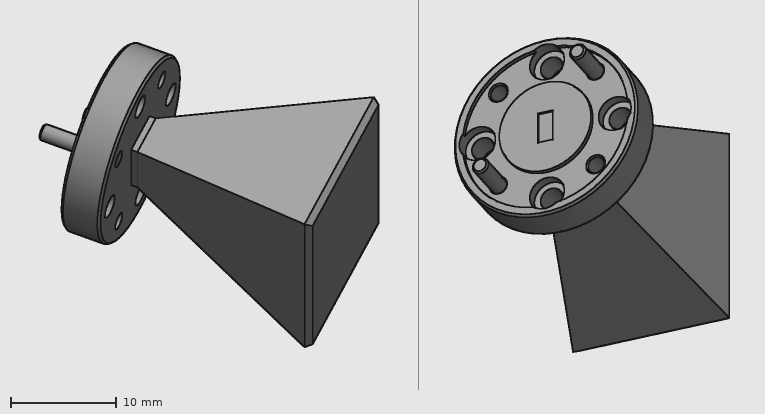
import cadquery as cq
import math

flange_diameter = 19.05
flange_front = 3.9
flange_back = 7.95
flange_chamfer_length = 0.25
flange_chamfer_depth = 0.2

recess_outer_radius = 8.6
boss_radius = 4.77
recess_depth = 0.45

window_width = 1.58
window_height = 3.2
window_depth = 0.23

bolt_circle_radius = 7.15
screw_hole_radius = 1.15
counterbore_radius = 1.8
counterbore_depth = 1.5
screw_angles = (0, 90, 180, 270)
dowel_hole_radius = 0.85
dowel_hole_chamfer = 0.15
dowel_hole_angles = (45, 225)

pin_radius = 0.82
pin_chamfer = 0.18
pin_seat_chamfer = 0.1
pin_angles = (135, 315)
pin_end = flange_back

neck_width = 4.3
neck_height = 5.77
neck_end = 8.6
mouth_width = 16.25
mouth_height = 20.05
mouth_start = 28.6
mouth_end = 29.27
mouth_bevel = 0.38


def plane_at(x):
    """Plane facing +X at the given X, with local x along Y and local y along Z."""
    return cq.Workplane(cq.Plane(origin=(x, 0, 0), xDir=(0, 1, 0), normal=(1, 0, 0)))


def circle_point(angle):
    """Point on the bolt circle, with the angle measured from +Y towards +Z."""
    turn = math.radians(angle)
    return bolt_circle_radius * math.cos(turn), bolt_circle_radius * math.sin(turn)


def cylinder(point, radius, start, end):
    return plane_at(start).center(*point).circle(radius).extrude(end - start)


def frustum(start, start_size, end, end_size):
    """Rectangular frustum between two (width, height) sections."""
    length = end - start
    return plane_at(start).rect(*start_size).workplane(offset=length).rect(*end_size).loft(ruled=True)


def countersunk_hole(angle, radius, chamfer):
    """Cutter for a through hole that is chamfered at the recess floor."""
    point = circle_point(angle)
    recess_floor = flange_front + recess_depth
    hole = cylinder(point, radius, recess_floor, flange_back)
    countersink = cq.Solid.makeCone(
        radius + chamfer,
        radius,
        chamfer,
        cq.Vector(recess_floor, *point),
        cq.Vector(1, 0, 0),
    )
    return hole.union(cq.Workplane(countersink))


def make_flange():
    radius = flange_diameter / 2
    chamfered_radius = radius - flange_chamfer_depth
    disc = (
        cq.Workplane("XZ")
        .moveTo(flange_front, 0)
        .lineTo(flange_front, chamfered_radius)
        .lineTo(flange_front + flange_chamfer_length, radius)
        .lineTo(flange_back - flange_chamfer_length, radius)
        .lineTo(flange_back, chamfered_radius)
        .lineTo(flange_back, 0)
        .close()
        .revolve(360, (0, 0, 0), (1, 0, 0))
    )

    recess = plane_at(flange_front).circle(recess_outer_radius).circle(boss_radius).extrude(recess_depth)
    window = plane_at(flange_front).rect(window_width, window_height).extrude(window_depth)
    flange = disc.cut(recess).cut(window)

    counterbore_floor = flange_front + counterbore_depth
    for angle in screw_angles:
        point = circle_point(angle)
        flange = flange.cut(cylinder(point, screw_hole_radius, flange_front, flange_back))
        flange = flange.cut(cylinder(point, counterbore_radius, flange_front, counterbore_floor))

    for angle in dowel_hole_angles:
        flange = flange.cut(countersunk_hole(angle, dowel_hole_radius, dowel_hole_chamfer))
    for angle in pin_angles:
        flange = flange.cut(countersunk_hole(angle, pin_radius, pin_seat_chamfer))
    return flange


def make_pin(angle):
    return cylinder(circle_point(angle), pin_radius, 0, pin_end).faces("<X").chamfer(pin_chamfer)


def make_horn():
    neck_size = (neck_width, neck_height)
    mouth_size = (mouth_width, mouth_height)
    bevelled_size = (mouth_width - 2 * mouth_bevel, mouth_height - 2 * mouth_bevel)
    neck = plane_at(flange_back).rect(*neck_size).extrude(neck_end - flange_back)
    flare = frustum(neck_end, neck_size, mouth_start, mouth_size)
    mouth = frustum(mouth_start, mouth_size, mouth_end, bevelled_size)
    return neck.union(flare).union(mouth)


flange = make_flange()
horn = make_horn()
pins = [make_pin(angle) for angle in pin_angles]

result = cq.Compound.makeCompound([flange.val(), horn.val(), *[pin.val() for pin in pins]])